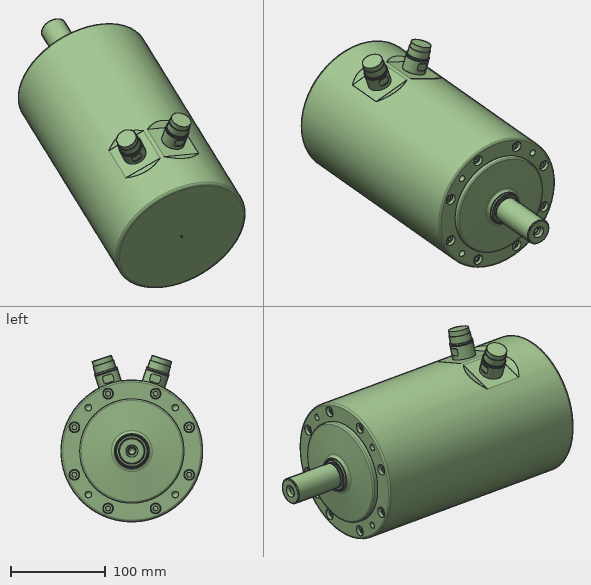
import cadquery as cq
import math


OVERALL_LENGTH = 328.0
HOUSING_DIAMETER = 150.0
HOUSING_RADIUS = HOUSING_DIAMETER / 2
SHAFT_LENGTH = 74.5
REAR_TIP_DIAMETER = 2.0
REAR_TIP_LENGTH = 0.5
HOUSING_LENGTH = OVERALL_LENGTH - SHAFT_LENGTH - REAR_TIP_LENGTH

FRONT_ROUND = 2.0
REAR_ROUND = 3.0

PILOT_RADIUS = 55.0
PILOT_LENGTH = 6.0
PILOT_ROUND = 1.5
CONE_TIP_RADIUS = 21.5
CONE_LENGTH = 3.3

BOSS_RADIUS = 18.5
BOSS_LENGTH = 15.0
BOSS_FILLET = CONE_TIP_RADIUS - BOSS_RADIUS
NOSE_DIAMETER = 35.0
NOSE_RIM_RADIUS = 16.7
NOSE_FLOOR_RADIUS = 16.0
NOSE_RECESS_DEPTH = 1.0

SHAFT_DIAMETER = 28.0
SHAFT_RADIUS = SHAFT_DIAMETER / 2
SHAFT_CHAMFER = 1.0
SHAFT_GROOVE_DIAMETER = 27.5
SHAFT_GROOVE_WIDTH = 1.0
SHAFT_GROOVE_GAP = 1.0
CENTRE_DRILL_DIAMETER = 7.0
CENTRE_DRILL_DEPTH = 16.5
CENTRE_BORE_DIAMETER = 9.0
CENTRE_BORE_DEPTH = 6.5
CENTRE_SINK_DIAMETER = 12.8
CENTRE_SINK_ANGLE = 60.0
DRILL_POINT_ANGLE = 118.0

SCREW_COUNT = 8
SCREW_CIRCLE_RADIUS = 65.5
SCREW_RECESS_DIAMETER = 11.0
SCREW_HEAD_DIAMETER = 10.0
SCREW_SOCKET_FLATS = 5.0
SOCKET_SIDES = 6
SCREW_RECESS_DEPTH = 8.5
SCREW_HEAD_SINK = 4.0
SCREW_SOCKET_DEPTH = 3.0
MOUNT_HOLE_COUNT = 4
MOUNT_CIRCLE_RADIUS = 65.0
MOUNT_HOLE_DIAMETER = 7.0
MOUNT_HOLE_DEPTH = 13.0

CONNECTOR_TILT = 18.0
CONNECTOR_X = 182.5
SEAT_DEPTH = 3.0
SEAT_HEIGHT = HOUSING_RADIUS - SEAT_DEPTH
SEAT_LENGTH = 43.0
SEAT_END_SLOPE = 20.0

CONNECTOR_HEIGHT = 30.8
BODY_RADIUS = 12.5
BODY_LENGTH = 17.5
BODY_GROOVE_RADIUS = 11.8
BODY_GROOVE_BASE = 14.8
BODY_GROOVE_WIDTH = 1.0
BARREL_RADIUS = 11.5
TIP_RADIUS = 10.8
TIP_LENGTH = 5.5
FLAT_OFFSET = 11.0
FLAT_BASE = 4.3
FLAT_TOP = 12.5
FLAT_CORNER_CHAMFER = 1.3


def turned(points):
    """Solid of revolution about X from (x, radius) points that start and end on the axis."""
    return cq.Workplane("XY").polyline(points).close().revolve(360, (0, 0, 0), (1, 0, 0))


def drilled(diameter, depth, start):
    """Blind hole along +X with a conical drill point."""
    radius = diameter / 2
    point = radius / math.tan(math.radians(DRILL_POINT_ANGLE / 2))
    return turned([
        (start, 0), (start, radius), (start + depth, radius), (start + depth + point, 0),
    ])


def around(tool, count, circle_radius):
    """Copies of a tool on a circle about X, the first half a step away from +Z."""
    step = 360 / count
    for index in range(count):
        placed = tool.translate((0, 0, circle_radius))
        yield placed.rotate((0, 0, 0), (1, 0, 0), (index + 0.5) * step)


def motor_blank():
    """Housing, pilot, cone, boss and shaft turned as one piece."""
    cone_face = -PILOT_LENGTH - CONE_LENGTH
    fillet_start = cone_face - BOSS_FILLET
    nose_radius = NOSE_DIAMETER / 2
    recess_floor = NOSE_RECESS_DEPTH - BOSS_LENGTH
    shaft_groove_radius = SHAFT_GROOVE_DIAMETER / 2
    shaft_groove_end = -BOSS_LENGTH - SHAFT_GROOVE_GAP
    shaft_groove = shaft_groove_end - SHAFT_GROOVE_WIDTH
    fillet_middle = BOSS_FILLET * math.sqrt(0.5)
    rear_tip = HOUSING_LENGTH + REAR_TIP_LENGTH
    profile = (
        cq.Workplane("XY")
        .moveTo(-SHAFT_LENGTH, 0)
        .lineTo(-SHAFT_LENGTH, SHAFT_RADIUS - SHAFT_CHAMFER)
        .lineTo(-SHAFT_LENGTH + SHAFT_CHAMFER, SHAFT_RADIUS)
        .lineTo(shaft_groove, SHAFT_RADIUS)
        .lineTo(shaft_groove, shaft_groove_radius)
        .lineTo(shaft_groove_end, shaft_groove_radius)
        .lineTo(shaft_groove_end, SHAFT_RADIUS)
        .lineTo(recess_floor, SHAFT_RADIUS)
        .lineTo(recess_floor, NOSE_FLOOR_RADIUS)
        .lineTo(-BOSS_LENGTH, NOSE_RIM_RADIUS)
        .lineTo(-BOSS_LENGTH, nose_radius)
        .lineTo(fillet_start, nose_radius)
        .lineTo(fillet_start, BOSS_RADIUS)
        .threePointArc(
            (fillet_start + fillet_middle, CONE_TIP_RADIUS - fillet_middle),
            (cone_face, CONE_TIP_RADIUS),
        )
        .lineTo(-PILOT_LENGTH, PILOT_RADIUS - PILOT_ROUND)
        .radiusArc((PILOT_ROUND - PILOT_LENGTH, PILOT_RADIUS), PILOT_ROUND)
        .lineTo(0, PILOT_RADIUS)
        .lineTo(0, HOUSING_RADIUS - FRONT_ROUND)
        .radiusArc((FRONT_ROUND, HOUSING_RADIUS), FRONT_ROUND)
        .lineTo(HOUSING_LENGTH - REAR_ROUND, HOUSING_RADIUS)
        .radiusArc((HOUSING_LENGTH, HOUSING_RADIUS - REAR_ROUND), REAR_ROUND)
        .lineTo(HOUSING_LENGTH, REAR_TIP_DIAMETER / 2)
        .lineTo(rear_tip, REAR_TIP_DIAMETER / 2)
        .lineTo(rear_tip, 0)
        .close()
    )
    return profile.revolve(360, (0, 0, 0), (1, 0, 0))


def centre_hole():
    """Stepped blind hole in the shaft end, with a conical mouth."""
    bore_radius = CENTRE_BORE_DIAMETER / 2
    sink_radius = CENTRE_SINK_DIAMETER / 2
    sink_depth = (sink_radius - bore_radius) / math.tan(math.radians(CENTRE_SINK_ANGLE / 2))
    mouth = turned([
        (-SHAFT_LENGTH, 0),
        (-SHAFT_LENGTH, sink_radius),
        (-SHAFT_LENGTH + sink_depth, bore_radius),
        (-SHAFT_LENGTH + CENTRE_BORE_DEPTH, bore_radius),
        (-SHAFT_LENGTH + CENTRE_BORE_DEPTH, 0),
    ])
    return mouth.union(drilled(CENTRE_DRILL_DIAMETER, CENTRE_DRILL_DEPTH, -SHAFT_LENGTH))


def seat_cutter():
    """Upright tool for a flat-bottomed seat with sloping ends, cut across the top of the housing."""
    run = SEAT_DEPTH / math.tan(math.radians(SEAT_END_SLOPE))
    half = SEAT_LENGTH / 2
    outline = [
        (CONNECTOR_X - half, SEAT_HEIGHT), (CONNECTOR_X + half, SEAT_HEIGHT),
        (CONNECTOR_X + half + run, HOUSING_RADIUS), (CONNECTOR_X - half - run, HOUSING_RADIUS),
    ]
    return cq.Workplane("XZ").polyline(outline).close().extrude(HOUSING_RADIUS / 2, both=True)


def screw_cutter():
    """Round recess that leaves a socket screw head standing on its floor."""
    socket_corners = SCREW_SOCKET_FLATS / math.cos(math.pi / SOCKET_SIDES)
    recess = cq.Workplane("YZ").circle(SCREW_RECESS_DIAMETER / 2).extrude(SCREW_RECESS_DEPTH)
    head = (
        cq.Workplane("YZ", origin=(SCREW_HEAD_SINK, 0, 0))
        .circle(SCREW_HEAD_DIAMETER / 2)
        .extrude(SCREW_RECESS_DEPTH - SCREW_HEAD_SINK)
        .faces("<X").workplane()
        .polygon(SOCKET_SIDES, socket_corners)
        .cutBlind(-SCREW_SOCKET_DEPTH)
    )
    return recess.cut(head)


def make_motor():
    """Motor body with its flange holes, shaft centre hole and connector seats."""
    motor = motor_blank()
    for cutter in around(screw_cutter(), SCREW_COUNT, SCREW_CIRCLE_RADIUS):
        motor = motor.cut(cutter)
    hole = drilled(MOUNT_HOLE_DIAMETER, MOUNT_HOLE_DEPTH, 0)
    for cutter in around(hole, MOUNT_HOLE_COUNT, MOUNT_CIRCLE_RADIUS):
        motor = motor.cut(cutter)
    motor = motor.cut(centre_hole())
    for tilt in (-CONNECTOR_TILT, CONNECTOR_TILT):
        motor = motor.cut(seat_cutter().rotate((0, 0, 0), (1, 0, 0), tilt))
    return motor


def flat_cutter(side):
    """Tool for the flat on the -X (side = -1) or +X (side = 1) of a connector body."""
    depth = BODY_RADIUS - FLAT_OFFSET
    half_width = math.sqrt(BODY_RADIUS**2 - FLAT_OFFSET**2)
    middle = (
        CONNECTOR_X + side * (FLAT_OFFSET + depth / 2),
        0,
        SEAT_HEIGHT + (FLAT_BASE + FLAT_TOP) / 2,
    )
    return (
        cq.Workplane("XY")
        .box(depth, 2 * half_width, FLAT_TOP - FLAT_BASE)
        .edges("|X").chamfer(FLAT_CORNER_CHAMFER)
        .translate(middle)
    )


def make_connector(tilt):
    """Stepped round connector standing on its seat, tilted about the motor axis."""
    barrel_length = CONNECTOR_HEIGHT - BODY_LENGTH - TIP_LENGTH
    connector = (
        cq.Workplane("XY", origin=(CONNECTOR_X, 0, SEAT_HEIGHT))
        .circle(BODY_RADIUS).extrude(BODY_LENGTH)
        .faces(">Z").workplane().circle(BARREL_RADIUS).extrude(barrel_length)
        .faces(">Z").workplane().circle(TIP_RADIUS).extrude(TIP_LENGTH)
    )
    groove = (
        cq.Workplane("XY", origin=(CONNECTOR_X, 0, SEAT_HEIGHT + BODY_GROOVE_BASE))
        .circle(BODY_RADIUS).circle(BODY_GROOVE_RADIUS).extrude(BODY_GROOVE_WIDTH)
    )
    connector = connector.cut(groove)
    for side in (-1, 1):
        connector = connector.cut(flat_cutter(side))
    return connector.rotate((0, 0, 0), (1, 0, 0), tilt)


motor = make_motor()
connectors = [make_connector(tilt) for tilt in (-CONNECTOR_TILT, CONNECTOR_TILT)]
result = cq.Compound.makeCompound([motor.val(), *[c.val() for c in connectors]])